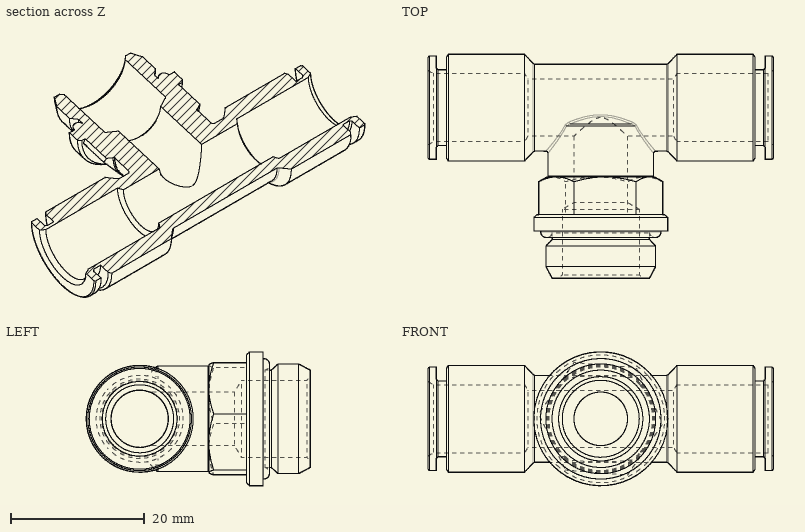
import cadquery as cq
import math

run_half_length = 25.8
run_radius = 6.5
collar_width = 1.25
collar_radius = 7.75
collar_chamfer = 0.2
neck_radius = 5.7
neck_root = 0.25
sleeve_outer_x = run_half_length - 2.75
sleeve_inner_x = run_half_length - 14.4
sleeve_radius = 8.0
sleeve_edge_width = 0.3
sleeve_edge_drop = 0.45
sleeve_cone_end_x = 10.1
sleeve_foot_width = 0.25
sleeve_foot_rise = 0.15

bore_cone_half_angle = math.radians(60)

run_bore_radius = 8.5 / 2
socket_radius = 10.15 / 2
socket_mouth_radius = 5.55
socket_mouth_depth = 0.8
socket_depth = 14.45
socket_cone_length = (socket_radius - run_bore_radius) / math.tan(bore_cone_half_angle)

branch_length = 25.5
boss_radius = 7.9
boss_crown_radius = 6.2
boss_crown_start = 1.05
boss_crown_shoulder = 2.4
boss_crown_end = 2.75
boss_crown_rounding = 0.15
joint_fillet = 0.3
boss_end = 10.3
boss_end_chamfer = 0.15

hex_across_flats = 16.1
hex_corner_radius = hex_across_flats / math.sqrt(3)
hex_turn = 4.5
hex_end = 15.95
hex_chamfer_height = 0.7

flange_radius = 10.0
flange_chamfer = 0.45
flange_end = 18.4
seal_tube_radius = 0.9
seal_tube_centre = 18.5
seal_inner_radius = 14.5 / 2
seal_centre_radius = seal_inner_radius + seal_tube_radius
groove_radius = 7.3
groove_end = 19.65
thread_radius = 8.2
thread_start = 20.65
thread_chamfer_start = 23.75
thread_tip_radius = 7.3

branch_bore_radius = 8.0 / 2
spigot_bore_radius = 11.5 / 2
spigot_mouth_radius = 6.3
spigot_bore_depth = 10.3
spigot_bore_cone_length = (spigot_bore_radius - branch_bore_radius) / math.tan(bore_cone_half_angle)


def revolve_symmetric_about_x(half_points):
    """Revolve an outline of (x, radius) points and its mirror image about the X axis."""
    mirrored_points = [(-x, radius) for x, radius in reversed(half_points)]
    outline = mirrored_points + half_points
    return cq.Workplane("XY").polyline(outline).close().revolve(360, (0, 0), (1, 0))


def revolve_about_y(points):
    """Revolve a closed outline of (radius, distance towards -Y) points about the Y axis."""
    outline = [(radius, -distance) for radius, distance in points]
    return cq.Workplane("XY").polyline(outline).close().revolve(360, (0, 0), (0, 1))


def make_run():
    """Tube with a sleeve and a release collar at each end."""
    collar_inner_x = run_half_length - collar_width
    return revolve_symmetric_about_x([
        (sleeve_cone_end_x - sleeve_foot_width, run_radius),
        (sleeve_cone_end_x, run_radius + sleeve_foot_rise),
        (sleeve_inner_x, sleeve_radius),
        (sleeve_outer_x - sleeve_edge_width, sleeve_radius),
        (sleeve_outer_x, sleeve_radius - sleeve_edge_drop),
        (sleeve_outer_x, neck_radius),
        (collar_inner_x - neck_root, neck_radius),
        (collar_inner_x, neck_radius + neck_root),
        (collar_inner_x, collar_radius),
        (run_half_length - collar_chamfer, collar_radius),
        (run_half_length, collar_radius - collar_chamfer),
        (run_half_length, 0),
    ])


def make_boss():
    """Branch root, crowned where it rises past the run."""
    return revolve_about_y([
        (0, boss_crown_start),
        (boss_crown_radius, boss_crown_start),
        (boss_radius - boss_crown_rounding, boss_crown_shoulder),
        (boss_radius, boss_crown_end),
        (boss_radius, boss_end - boss_end_chamfer),
        (boss_radius - boss_end_chamfer, boss_end),
        (0, boss_end),
    ])


def make_hexagon():
    """Turned hexagon with its corners chamfered towards the run."""
    hexagon = (
        cq.Workplane("XZ", origin=(0, -boss_end, 0))
        .transformed(rotate=(0, 0, -hex_turn))
        .polygon(6, 2 * hex_corner_radius)
        .extrude(hex_end - boss_end)
    )
    corner_cone = revolve_about_y([
        (0, boss_end),
        (hex_across_flats / 2, boss_end),
        (hex_corner_radius, boss_end + hex_chamfer_height),
        (hex_corner_radius, hex_end),
        (0, hex_end),
    ])
    return hexagon.intersect(corner_cone)


def make_spigot():
    """Flange, seal ring, groove and threaded end."""
    flange = revolve_about_y([
        (0, hex_end),
        (flange_radius - flange_chamfer, hex_end),
        (flange_radius, hex_end + flange_chamfer),
        (flange_radius, flange_end),
        (0, flange_end),
    ])
    seal = (
        cq.Workplane("XY")
        .center(seal_centre_radius, -seal_tube_centre)
        .circle(seal_tube_radius)
        .revolve(360, (-seal_centre_radius, 0), (-seal_centre_radius, 1))
    )
    threaded_end = revolve_about_y([
        (0, flange_end),
        (groove_radius, flange_end),
        (groove_radius, groove_end),
        (thread_radius, thread_start),
        (thread_radius, thread_chamfer_start),
        (thread_tip_radius, branch_length),
        (0, branch_length),
    ])
    return flange.union(seal).union(threaded_end)


def make_run_bore():
    """Through bore with a chamfered tube socket at each end."""
    socket_bottom_x = run_half_length - socket_depth
    return revolve_symmetric_about_x([
        (socket_bottom_x - socket_cone_length, run_bore_radius),
        (socket_bottom_x, socket_radius),
        (run_half_length - socket_mouth_depth, socket_radius),
        (run_half_length, socket_mouth_radius),
        (run_half_length, 0),
    ])


def make_branch_bore():
    """Branch bore, widened by a cone into the spigot, open into the run bore."""
    spigot_bore_bottom = branch_length - spigot_bore_depth
    mouth_chamfer = spigot_mouth_radius - spigot_bore_radius
    return revolve_about_y([
        (0, 0),
        (branch_bore_radius, 0),
        (branch_bore_radius, spigot_bore_bottom - spigot_bore_cone_length),
        (spigot_bore_radius, spigot_bore_bottom),
        (spigot_bore_radius, branch_length - mouth_chamfer),
        (spigot_mouth_radius, branch_length),
        (0, branch_length),
    ])


def make_tee():
    """Run and boss, blended where they meet."""
    tee = make_run().union(make_boss())
    joint_region = cq.selectors.BoxSelector(
        (-boss_radius - joint_fillet, -run_radius - joint_fillet, -boss_radius),
        (boss_radius + joint_fillet, -boss_crown_start, boss_radius),
        boundingbox=True,
    )
    region_edges = tee.edges(joint_region).vals()
    joint_edges = [edge for edge in region_edges if edge.geomType() not in ("CIRCLE", "LINE")]
    return tee.newObject(joint_edges).fillet(joint_fillet)


body = make_tee().union(make_hexagon()).union(make_spigot())
result = body.cut(make_run_bore()).cut(make_branch_bore())